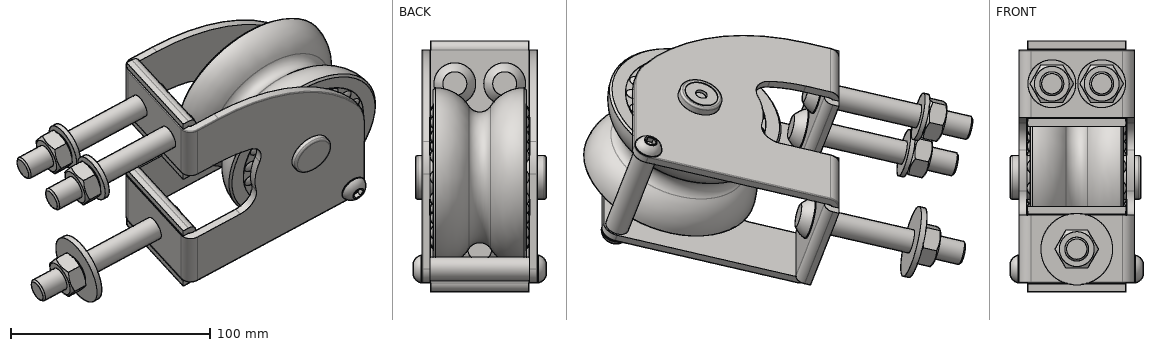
import cadquery as cq
import math


SHEET = 4.0
BRACKET_HALF_WIDTH = 29.0
INNER_HALF_WIDTH = BRACKET_HALF_WIDTH - SHEET
BEND_RADIUS = 6.0
BRACKET_REAR = 33.6
BRACKET_FRONT = -75.0
ARM_HEIGHT = 34.0
UPPER_ARM_Z = 47.0
LOWER_ARM_Z = -36.0
BRACKET_TOP = UPPER_ARM_Z + ARM_HEIGHT / 2
BRACKET_BOTTOM = LOWER_ARM_Z - ARM_HEIGHT / 2
BACK_ARC_RADIUS = 101.0
BACK_ARC_Y = -56.0
BACK_ARC_Z = BRACKET_TOP - BACK_ARC_RADIUS
SHOULDER_RADIUS = 30.0
CORNER_RADIUS = 7.0
OUTER_EDGE_ROUND = 0.5
THROAT_RADIUS = 33.7
THROAT_CORNER_RADIUS = 10.0

CHANNEL_HALF_WIDTH = 24.7
CHANNEL_GAP = 0.5
CHANNEL_LIP_SETBACK = 0.3
CHANNEL_BACK = BRACKET_FRONT + 2 * SHEET

WHEEL_RADIUS = 45.0
WHEEL_HALF_WIDTH = 23.4
RIM_CHAMFER = 1.1
FLANK_RADIUS = 20.0
GROOVE_RADIUS = 6.5
WHEEL_RECESS_RADIUS = 36.8
WHEEL_RECESS_DEPTH = 0.3

BALL_COUNT = 19
BALL_RADIUS = 4.0
BALL_CIRCLE_RADIUS = 33.0
BALL_CLEARANCE = 0.1

AXLE_HEAD_DIAMETER = 22.0
AXLE_FACE_DIAMETER = 19.75
AXLE_LEFT_HEAD = 4.4
AXLE_RIGHT_HEAD = 3.2
AXLE_HOLE_DIAMETER = 6.0
AXLE_HOLE_DEPTH = 2.0
AXLE_DISH_DIAMETER = 17.0
AXLE_DISH_DEPTH = 0.3

CROSS_BAR_DIAMETER = 12.0
CROSS_BAR_Y = BRACKET_REAR - CORNER_RADIUS
CROSS_BAR_Z = BRACKET_BOTTOM + CORNER_RADIUS
CROSS_HEAD_DIAMETER = 14.0
CROSS_HEAD_TOP_DIAMETER = 6.6
CROSS_HEAD_HEIGHT = 4.4
HEAD_RIM_HEIGHT = 0.5
CROSS_HEAD_BULGE = 0.7
SOCKET_ACROSS_FLATS = 5.0
SOCKET_DEPTH = 2.6
SOCKET_CONE_DEPTH = 1.2
SOCKET_TURN = 30.0

BOLT_DIAMETER = 12.0
BOLT_END = -147.0
BOLT_CHAMFER = 0.9
BOLT_HEAD_DIAMETER = 21.0
BOLT_HEAD_TOP_DIAMETER = 12.0
BOLT_HEAD_HEIGHT = 6.2
BOLT_HEAD_BULGE = 0.5
UPPER_BOLT_X = 12.5
WASHER_FACE = -119.9
SMALL_WASHER_DIAMETER = 24.0
SMALL_WASHER_THICKNESS = 2.5
LARGE_WASHER_DIAMETER = 36.0
LARGE_WASHER_THICKNESS = 3.0
NUT_ACROSS_FLATS = 19.0
NUT_HEIGHT = 10.0
NUT_COLLAR_DIAMETER = 16.0
NUT_COLLAR_HEIGHT = 0.6
NUT_FACE_DIAMETER = 17.5
NUT_BEVEL_ANGLE = 30.0


def x_cylinder(diameter, x_start, x_end, y=0.0, z=0.0):
    """Cylinder along X between two stations."""
    plane = cq.Workplane("YZ", origin=(x_start, y, z))
    return plane.circle(diameter / 2).extrude(x_end - x_start)


def button_head(base_diameter, top_diameter, height, flank_bulge):
    """Button head standing on the XY plane: short cylindrical rim, then a slightly domed flank."""
    base = base_diameter / 2
    top = top_diameter / 2
    flank_run = base - top
    flank_rise = height - HEAD_RIM_HEIGHT
    flank_length = math.hypot(flank_run, flank_rise)
    mid_radius = (base + top) / 2 + flank_bulge * flank_rise / flank_length
    mid_z = (height + HEAD_RIM_HEIGHT) / 2 + flank_bulge * flank_run / flank_length
    profile = (
        cq.Workplane("XZ")
        .lineTo(base, 0)
        .lineTo(base, HEAD_RIM_HEIGHT)
        .threePointArc((mid_radius, mid_z), (top, height))
        .lineTo(0, height)
        .close()
    )
    return profile.revolve(360, (0, 0, 0), (0, 1, 0))


def side_outline():
    """Bracket cheek with the forked arms, as a slab across the full width."""
    full_width = 2 * BRACKET_HALF_WIDTH

    def slab():
        return cq.Workplane("YZ", origin=(-BRACKET_HALF_WIDTH, 0, 0))

    rear_z = BACK_ARC_Z + math.sqrt(BACK_ARC_RADIUS**2 - (BRACKET_REAR - BACK_ARC_Y) ** 2)
    rear_angle = math.atan2(rear_z - BACK_ARC_Z, BRACKET_REAR - BACK_ARC_Y)
    mid_angle = (rear_angle + math.pi / 2) / 2
    arc_mid = (
        BACK_ARC_Y + BACK_ARC_RADIUS * math.cos(mid_angle),
        BACK_ARC_Z + BACK_ARC_RADIUS * math.sin(mid_angle),
    )
    cheek = (
        slab()
        .moveTo(BRACKET_FRONT, BRACKET_BOTTOM)
        .lineTo(BRACKET_FRONT, BRACKET_TOP)
        .lineTo(BACK_ARC_Y, BRACKET_TOP)
        .threePointArc(arc_mid, (BRACKET_REAR, rear_z))
        .lineTo(BRACKET_REAR, BRACKET_BOTTOM)
        .close()
        .extrude(full_width)
    )
    for z, radius in ((rear_z, SHOULDER_RADIUS), (BRACKET_BOTTOM, CORNER_RADIUS)):
        corner = cq.selectors.NearestToPointSelector((0, BRACKET_REAR, z))
        cheek = cheek.edges(corner).fillet(radius)

    roof_radius = BACK_ARC_RADIUS - ARM_HEIGHT
    floor_z = LOWER_ARM_Z + ARM_HEIGHT / 2
    roof_z = BACK_ARC_Z + roof_radius
    centre_distance = math.hypot(BACK_ARC_Y, BACK_ARC_Z)
    to_meeting = math.acos(
        (THROAT_RADIUS**2 + centre_distance**2 - roof_radius**2) / (2 * THROAT_RADIUS * centre_distance)
    )
    meeting_angle = math.atan2(BACK_ARC_Z, BACK_ARC_Y) % (2 * math.pi) - to_meeting
    meeting = (THROAT_RADIUS * math.cos(meeting_angle), THROAT_RADIUS * math.sin(meeting_angle))
    roof_mid_angle = (math.pi / 2 + math.atan2(meeting[1] - BACK_ARC_Z, meeting[0] - BACK_ARC_Y)) / 2
    roof_mid = (
        BACK_ARC_Y + roof_radius * math.cos(roof_mid_angle),
        BACK_ARC_Z + roof_radius * math.sin(roof_mid_angle),
    )
    floor_corner = (-math.sqrt(THROAT_RADIUS**2 - floor_z**2), floor_z)
    throat = (
        slab()
        .moveTo(BRACKET_FRONT, floor_z)
        .lineTo(BRACKET_FRONT, roof_z)
        .lineTo(BACK_ARC_Y, roof_z)
        .threePointArc(roof_mid, meeting)
        .threePointArc((-THROAT_RADIUS, 0), floor_corner)
        .close()
        .extrude(full_width)
    )
    for y, z in (meeting, floor_corner):
        corner = cq.selectors.NearestToPointSelector((0, y, z))
        throat = throat.edges(corner).fillet(THROAT_CORNER_RADIUS)
    return cheek.cut(throat)


def make_bracket():
    """U-shaped sheet trimmed to the cheek outline."""
    length = BRACKET_REAR - BRACKET_FRONT
    height = BRACKET_TOP - BRACKET_BOTTOM
    centre = (0, (BRACKET_REAR + BRACKET_FRONT) / 2, (BRACKET_TOP + BRACKET_BOTTOM) / 2)
    outer = cq.Workplane("XY").box(2 * BRACKET_HALF_WIDTH, length, height)
    outer = outer.edges("|Z and <Y").fillet(BEND_RADIUS)
    inner = cq.Workplane("XY").box(2 * INNER_HALF_WIDTH, length, height)
    inner = inner.edges("|Z and <Y").fillet(BEND_RADIUS - SHEET)
    channel = outer.cut(inner.translate((0, SHEET, 0))).translate(centre)
    bracket = channel.intersect(side_outline())
    top_edge = cq.selectors.NearestToPointSelector((0, BRACKET_FRONT, BRACKET_TOP))
    return bracket.edges(top_edge).fillet(OUTER_EDGE_ROUND)


def make_backing_channel(arm_z):
    """Plate behind one end plate with lips bent forward over its upper and lower edges."""
    inner_height = ARM_HEIGHT + 2 * CHANNEL_GAP
    outer_height = inner_height + 2 * SHEET
    front = BRACKET_FRONT + CHANNEL_LIP_SETBACK
    depth = CHANNEL_BACK - front
    width = 2 * CHANNEL_HALF_WIDTH
    outer = cq.Workplane("XY").box(width, depth, outer_height)
    outer = outer.edges("|X and >Y").fillet(SHEET + CHANNEL_GAP)
    inner = cq.Workplane("XY").box(width, depth, inner_height)
    inner = inner.edges("|X and >Y").fillet(CHANNEL_GAP)
    channel = outer.cut(inner.translate((0, -SHEET, 0)))
    return channel.translate((0, (CHANNEL_BACK + front) / 2, arm_z))


def make_wheel():
    """Wheel revolved about X: two convex flanks blending into a round groove."""
    flank_x = WHEEL_HALF_WIDTH - RIM_CHAMFER
    flank_centre_r = WHEEL_RADIUS - FLANK_RADIUS
    blend_angle = math.asin(flank_x / (FLANK_RADIUS + GROOVE_RADIUS))
    groove_centre_r = flank_centre_r + (FLANK_RADIUS + GROOVE_RADIUS) * math.cos(blend_angle)
    blend_x = GROOVE_RADIUS * math.sin(blend_angle)
    blend_r = groove_centre_r - GROOVE_RADIUS * math.cos(blend_angle)
    flank_mid_x = flank_x - FLANK_RADIUS * math.sin(blend_angle / 2)
    flank_mid_r = flank_centre_r + FLANK_RADIUS * math.cos(blend_angle / 2)
    face_x = WHEEL_HALF_WIDTH
    recess_x = face_x - WHEEL_RECESS_DEPTH
    profile = (
        cq.Workplane("XY")
        .moveTo(-recess_x, 0)
        .lineTo(-recess_x, WHEEL_RECESS_RADIUS)
        .lineTo(-face_x, WHEEL_RECESS_RADIUS)
        .lineTo(-face_x, WHEEL_RADIUS - RIM_CHAMFER)
        .lineTo(-flank_x, WHEEL_RADIUS)
        .threePointArc((-flank_mid_x, flank_mid_r), (-blend_x, blend_r))
        .threePointArc((0, groove_centre_r - GROOVE_RADIUS), (blend_x, blend_r))
        .threePointArc((flank_mid_x, flank_mid_r), (flank_x, WHEEL_RADIUS))
        .lineTo(face_x, WHEEL_RADIUS - RIM_CHAMFER)
        .lineTo(face_x, WHEEL_RECESS_RADIUS)
        .lineTo(recess_x, WHEEL_RECESS_RADIUS)
        .lineTo(recess_x, 0)
        .close()
    )
    return profile.revolve(360, (0, 0, 0), (1, 0, 0))


def add_balls(wheel):
    """Ring of balls standing out of each wheel face, just short of the bracket cheeks."""
    ball_x = INNER_HALF_WIDTH - BALL_CLEARANCE - BALL_RADIUS
    for index in range(BALL_COUNT):
        angle = 2 * math.pi * index / BALL_COUNT
        y = BALL_CIRCLE_RADIUS * math.cos(angle)
        z = BALL_CIRCLE_RADIUS * math.sin(angle)
        for side in (-1, 1):
            ball = cq.Workplane("YZ").sphere(BALL_RADIUS).translate((side * ball_x, y, z))
            wheel = wheel.union(ball)
    return wheel


def make_axle():
    """Axle through both cheeks with a rounded head on each end."""
    left_end = -BRACKET_HALF_WIDTH - AXLE_LEFT_HEAD
    right_end = BRACKET_HALF_WIDTH + AXLE_RIGHT_HEAD
    axle = x_cylinder(AXLE_HEAD_DIAMETER, left_end, right_end)
    edge_round = (AXLE_HEAD_DIAMETER - AXLE_FACE_DIAMETER) / 2
    axle = axle.faces("<X or >X").edges().fillet(edge_round)
    axle = axle.cut(x_cylinder(AXLE_DISH_DIAMETER, left_end, left_end + AXLE_DISH_DEPTH))
    return axle.cut(x_cylinder(AXLE_HOLE_DIAMETER, left_end, left_end + AXLE_HOLE_DEPTH))


def make_cross_head():
    """M8 button head with a hexagon socket ending in a drilled cone."""
    head = button_head(CROSS_HEAD_DIAMETER, CROSS_HEAD_TOP_DIAMETER, CROSS_HEAD_HEIGHT, CROSS_HEAD_BULGE)
    hexagon_diameter = SOCKET_ACROSS_FLATS / math.cos(math.pi / 6)
    top = cq.Workplane("XY", origin=(0, 0, CROSS_HEAD_HEIGHT))
    hexagon = top.polygon(6, hexagon_diameter).extrude(-SOCKET_DEPTH)
    hexagon = hexagon.rotate((0, 0, 0), (0, 0, 1), SOCKET_TURN)
    floor_z = CROSS_HEAD_HEIGHT - SOCKET_DEPTH
    cone_radius = SOCKET_ACROSS_FLATS / 2
    cone = cq.Solid.makeCone(0, cone_radius, SOCKET_CONE_DEPTH, cq.Vector(0, 0, floor_z - SOCKET_CONE_DEPTH))
    return head.cut(hexagon).cut(cq.Workplane(cone))


def make_cross_bar():
    """Bar between the cheeks with a button head on each outer side."""
    bar = x_cylinder(
        CROSS_BAR_DIAMETER, -BRACKET_HALF_WIDTH, BRACKET_HALF_WIDTH, CROSS_BAR_Y, CROSS_BAR_Z
    )
    for side in (-1, 1):
        head = make_cross_head().rotate((0, 0, 0), (0, 1, 0), side * 90)
        bar = bar.union(head.translate((side * BRACKET_HALF_WIDTH, CROSS_BAR_Y, CROSS_BAR_Z)))
    return bar


def make_nut():
    """Hexagon nut along +Z with a bearing collar at its base and bevelled corners."""
    across_corners = NUT_ACROSS_FLATS / math.cos(math.pi / 6)
    body_height = NUT_HEIGHT - NUT_COLLAR_HEIGHT
    bevel = (across_corners - NUT_FACE_DIAMETER) / 2 * math.tan(math.radians(NUT_BEVEL_ANGLE))
    hexagon = cq.Workplane("XY").polygon(6, across_corners).extrude(body_height)
    envelope = (
        cq.Workplane("XZ")
        .lineTo(NUT_FACE_DIAMETER / 2, 0)
        .lineTo(across_corners / 2, bevel)
        .lineTo(across_corners / 2, body_height - bevel)
        .lineTo(NUT_FACE_DIAMETER / 2, body_height)
        .lineTo(0, body_height)
        .close()
        .revolve(360, (0, 0, 0), (0, 1, 0))
    )
    collar = cq.Workplane("XY").circle(NUT_COLLAR_DIAMETER / 2).extrude(NUT_COLLAR_HEIGHT)
    return hexagon.intersect(envelope).translate((0, 0, NUT_COLLAR_HEIGHT)).union(collar)


def make_bolt(x, z, washer_diameter, washer_thickness):
    """Button-head bolt with its washer and nut; modelled along +Z, then laid along -Y."""
    length = CHANNEL_BACK - BOLT_END
    bolt = cq.Workplane("XY").circle(BOLT_DIAMETER / 2).extrude(length)
    bolt = bolt.faces(">Z").chamfer(BOLT_CHAMFER)
    head = button_head(BOLT_HEAD_DIAMETER, BOLT_HEAD_TOP_DIAMETER, BOLT_HEAD_HEIGHT, BOLT_HEAD_BULGE)
    bolt = bolt.union(head.rotate((0, 0, 0), (1, 0, 0), 180))
    washer_z = CHANNEL_BACK - WASHER_FACE
    washer = cq.Workplane("XY").circle(washer_diameter / 2).extrude(washer_thickness)
    bolt = bolt.union(washer.translate((0, 0, washer_z)))
    bolt = bolt.union(make_nut().translate((0, 0, washer_z + washer_thickness)))
    return bolt.rotate((0, 0, 0), (1, 0, 0), 90).translate((x, CHANNEL_BACK, z))


result = make_bracket()
for channel_z in (UPPER_ARM_Z, LOWER_ARM_Z):
    result = result.union(make_backing_channel(channel_z))
result = result.union(add_balls(make_wheel()))
result = result.union(make_axle()).union(make_cross_bar())
for bolt_x in (-UPPER_BOLT_X, UPPER_BOLT_X):
    result = result.union(make_bolt(bolt_x, UPPER_ARM_Z, SMALL_WASHER_DIAMETER, SMALL_WASHER_THICKNESS))
result = result.union(make_bolt(0, LOWER_ARM_Z, LARGE_WASHER_DIAMETER, LARGE_WASHER_THICKNESS))